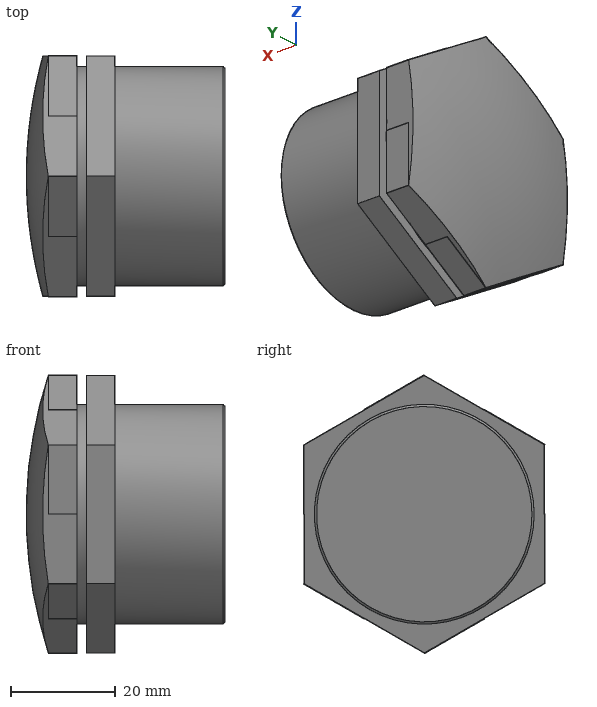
import cadquery as cq
import math

SIDES = 6
PAD_THICKNESS = 0.1
OVERALL_HEIGHT = 53.1
DOME_HEIGHT = 4.25
PAD_WIDTH = 5.45
COLLAR_WIDTH = 5.4
COLLAR_GAP = 1.8
LENGTH = 38.0
BARREL_DIAMETER = 41.9
BARREL_CHAMFER = 0.4

HEX_CORNERS = OVERALL_HEIGHT - 2 * PAD_THICKNESS * math.cos(math.pi / SIDES)
CORNER_RADIUS = HEX_CORNERS / 2
FLAT_RADIUS = CORNER_RADIUS * math.cos(math.pi / SIDES)
SIDE_LENGTH = 2 * CORNER_RADIUS * math.sin(math.pi / SIDES)
DOME_RADIUS = (CORNER_RADIUS**2 + DOME_HEIGHT**2) / (2 * DOME_HEIGHT)
HEAD_BACK = DOME_HEIGHT + PAD_WIDTH
COLLAR_FRONT = HEAD_BACK + COLLAR_GAP


def hex_prism(start, width):
    """Hexagonal prism along X with corners pointing up and down."""
    return (
        cq.Workplane("YZ", origin=(start, 0, 0))
        .transformed(rotate=(0, 0, 90))
        .polygon(SIDES, HEX_CORNERS)
        .extrude(width)
    )


def make_head():
    """Hexagonal head with a spherical front."""
    dome = cq.Workplane("XY", origin=(DOME_RADIUS, 0, 0)).sphere(DOME_RADIUS)
    return hex_prism(0, HEAD_BACK).intersect(dome)


def make_barrel():
    """Round barrel with a chamfered free end."""
    return (
        cq.Workplane("YZ", origin=(HEAD_BACK, 0, 0))
        .circle(BARREL_DIAMETER / 2)
        .extrude(LENGTH - HEAD_BACK)
        .faces(">X")
        .chamfer(BARREL_CHAMFER)
    )


def make_plug():
    """Head, barrel and hexagonal collar as one body."""
    collar = hex_prism(COLLAR_FRONT, COLLAR_WIDTH)
    return make_head().union(make_barrel()).union(collar)


def make_pad(angle):
    """Thin pad on one half of a head flat, turned about X to its side."""
    return (
        cq.Workplane("XY")
        .box(PAD_WIDTH, PAD_THICKNESS, SIDE_LENGTH / 2, centered=False)
        .translate((DOME_HEIGHT, -FLAT_RADIUS - PAD_THICKNESS, 0))
        .rotate((0, 0, 0), (1, 0, 0), angle)
    )


plug = make_plug()
pads = [make_pad(side * 360 / SIDES) for side in range(SIDES)]

result = cq.Compound.makeCompound([plug.val(), *[pad.val() for pad in pads]])